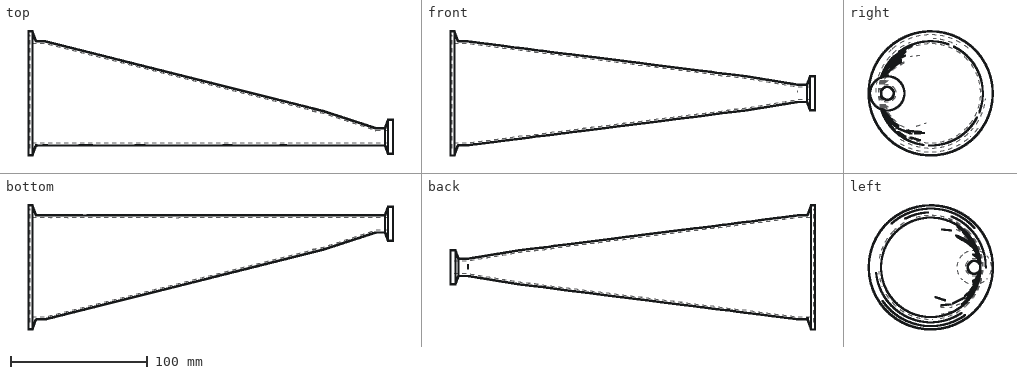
import cadquery as cq
import math

length = 266.7
wall = 1.73

large_tube_diameter = 76.3
middle_diameter = 25.3
small_tube_diameter = 12.8

large_tube_end = 12.3
middle_station = 215.5
small_tube_start = 254.0

large_flange_diameter = 91.0
large_rim_thickness = 3.0
small_flange_diameter = 25.0
small_rim_thickness = 3.7
flange_back_angle = 20.0
face_edge_round = 0.4
large_foot_round = 1.0

groove_mean_diameter = 83.2
groove_width = 3.0
groove_depth = 1.3
groove_edge_round = 0.5

selection_margin = 0.3

small_end_offset = (small_tube_diameter - large_tube_diameter) / 2
middle_offset = (middle_diameter - large_tube_diameter) / 2


def disc(x, y, diameter, thickness):
    """Cylinder along +X whose first face lies at x, with its axis at y."""
    return cq.Workplane("YZ", origin=(x, y, 0)).circle(diameter / 2).extrude(thickness)


def cone(x_start, y_start, start_diameter, x_end, y_end, end_diameter):
    """Straight-sided transition between two circles in parallel YZ planes."""
    return (
        cq.Workplane("YZ", origin=(x_start, y_start, 0))
        .circle(start_diameter / 2)
        .workplane(offset=x_end - x_start)
        .center(y_end - y_start, 0)
        .circle(end_diameter / 2)
        .loft(ruled=True)
    )


def reducer(inset):
    """Solid tube and cone run, with its surface moved inward by inset."""
    large = large_tube_diameter - 2 * inset
    middle = middle_diameter - 2 * inset
    small = small_tube_diameter - 2 * inset
    body = disc(0, 0, large, large_tube_end)
    body = body.union(cone(large_tube_end, 0, large, middle_station, middle_offset, middle))
    body = body.union(
        cone(middle_station, middle_offset, middle, small_tube_start, small_end_offset, small)
    )
    return body.union(disc(small_tube_start, small_end_offset, small, length - small_tube_start))


def flange_back_length(flange_diameter, tube_diameter):
    """Length along X of the taper between the rim and the tube."""
    return (flange_diameter - tube_diameter) / 2 * math.tan(math.radians(flange_back_angle))


def flange(flange_diameter, rim_thickness, tube_diameter):
    """Clamp flange with its face at x = 0 and its tapered back toward +X."""
    taper_end = rim_thickness + flange_back_length(flange_diameter, tube_diameter)
    rim = disc(0, 0, flange_diameter, rim_thickness)
    back = cone(rim_thickness, 0, flange_diameter, taper_end, 0, tube_diameter)
    return rim.union(back).faces("<X").edges().fillet(face_edge_round)


def gasket_groove():
    """Ring of circular-segment section, sunk into the face at x = 0."""
    mean_radius = groove_mean_diameter / 2
    inner_radius = mean_radius - groove_width / 2
    outer_radius = mean_radius + groove_width / 2
    return (
        cq.Workplane("XY")
        .moveTo(0, inner_radius)
        .threePointArc((groove_depth, mean_radius), (0, outer_radius))
        .close()
        .revolve(360, (0, 0, 0), (1, 0, 0))
    )


groove_mouth_edges = cq.selectors.RadiusNthSelector(0) + cq.selectors.RadiusNthSelector(1)

large_flange = (
    flange(large_flange_diameter, large_rim_thickness, large_tube_diameter)
    .cut(gasket_groove())
    .faces("<X")
    .edges(groove_mouth_edges)
    .fillet(groove_edge_round)
)
small_flange = (
    flange(small_flange_diameter, small_rim_thickness, small_tube_diameter)
    .rotate((0, 0, 0), (0, 0, 1), 180)
    .translate((length, small_end_offset, 0))
)

large_foot_x = large_rim_thickness + flange_back_length(large_flange_diameter, large_tube_diameter)
large_foot_edge = cq.selectors.BoxSelector(
    (large_foot_x - selection_margin, -large_flange_diameter, -large_flange_diameter),
    (large_foot_x + selection_margin, large_flange_diameter, large_flange_diameter),
)
outer_body = reducer(0).union(large_flange).edges(large_foot_edge).fillet(large_foot_round)

result = outer_body.union(small_flange).cut(reducer(wall))